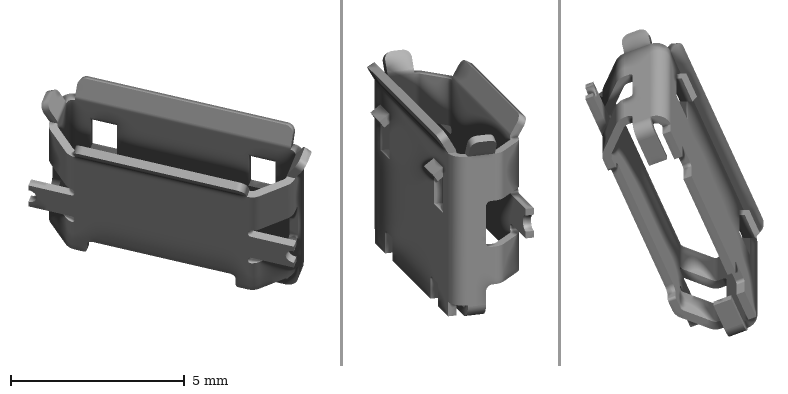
import cadquery as cq
import math

sheet = 0.25
overall_width = 8
shell_width = 7.4
shell_depth = 2.35
shell_top = 4.99
front_bottom = 0.99
bend_radius = 0.45
chamfer_size = 0.9
chamfer_angle = 45
cut_margin = 0.4

half_width = shell_width / 2
half_back = half_width - bend_radius
bend_setback = bend_radius * math.tan(math.radians(chamfer_angle / 2))
half_front = half_width - chamfer_size - bend_setback
side_front = chamfer_size + bend_setback
side_back = shell_depth - bend_radius

flap_lean = 30
flap_length = 0.6
flap_corner = 0.25
front_flap_trim = 0.02

window_inner = 1.98
window_width = 0.81
window_top = 4.42
window_height = 1.4
tongue_lean = 55
tongue_length = 0.37

leg_front = 1.35
opening_corner = 0.14
leg_corner = 0.2
opening_bottom = 2.14
opening_top = 3.55
slot_corner = 0.1
arm_height = 0.9
arm_notch_radius = 0.25
foot_bend = 0.39
foot_inner_end = 2.45
corner_bottom = 0.44

front_notch_half = 2.25
front_notch_top = 1.5
front_notch_corner = 0.18
front_notch_flare = 0.08
back_notch_inner = 1.68
back_notch_outer = 2.37
back_notch_top = 0.7
back_notch_corner = 0.1


def block(x_min, x_max, y_min, y_max, z_min, z_max):
    size = (x_max - x_min, y_max - y_min, z_max - z_min)
    return cq.Workplane("XY").box(*size, centered=False).translate((x_min, y_min, z_min))


def both_sides(body):
    return body.union(body.mirror("YZ"))


def tube():
    """Closed band with rounded back corners and chamfered front corners."""
    half_chamfered = half_width - chamfer_size
    outline = [
        (-half_chamfered, 0),
        (half_chamfered, 0),
        (half_width, chamfer_size),
        (half_width, shell_depth),
        (-half_width, shell_depth),
        (-half_width, chamfer_size),
    ]
    solid = cq.Workplane("XY").polyline(outline).close().extrude(shell_top)
    return solid.edges("|Z").fillet(bend_radius).faces("|Z").shell(-sheet)


def bent_flap(width, lean, length):
    """Flap rising from the origin and leaning toward +X; the bend turns about its outer corner."""
    angle = math.radians(lean)
    along = (math.sin(angle), math.cos(angle))
    inward = (-math.cos(angle), math.sin(angle))
    bend_mid = (-sheet * math.cos(angle / 2), sheet * math.sin(angle / 2))
    bend_end = (sheet * inward[0], sheet * inward[1])
    tip = (length * along[0], length * along[1])
    return (
        cq.Workplane("XZ")
        .moveTo(0, 0)
        .lineTo(-sheet, 0)
        .threePointArc(bend_mid, bend_end)
        .lineTo(tip[0] + bend_end[0], tip[1] + bend_end[1])
        .lineTo(*tip)
        .close()
        .extrude(width / 2, both=True)
    )


def top_flap(width):
    angle = math.radians(flap_lean)
    across_sheet = cq.Vector(-math.cos(angle), 0, math.sin(angle))
    flap = bent_flap(width, flap_lean, flap_length)
    tip_corners = cq.selectors.ParallelDirSelector(across_sheet)
    return flap.edges(tip_corners).fillet(flap_corner).translate((0, 0, shell_top))


def top_flaps():
    turn_axis = ((0, 0, 0), (0, 0, 1))
    back = top_flap(2 * half_back).rotate(*turn_axis, 90).translate((0, shell_depth, 0))
    front = top_flap(2 * (half_front - front_flap_trim)).rotate(*turn_axis, -90)
    side = top_flap(side_back - side_front).translate((half_width, (side_front + side_back) / 2, 0))
    return back.union(front).union(both_sides(side))


def windows():
    window = block(
        window_inner, window_inner + window_width,
        side_back, shell_depth + cut_margin,
        window_top - window_height, window_top,
    )
    return both_sides(window)


def window_tongues():
    tongue = bent_flap(window_width, tongue_lean, tongue_length).mirror("XY")
    tongue = tongue.rotate((0, 0, 0), (0, 0, 1), 90)
    return both_sides(tongue.translate((window_inner + window_width / 2, shell_depth, window_top)))


def side_openings():
    """Openings around the arms, running from the side walls into the front wall."""
    reach = half_width + cut_margin
    side_start = half_back - bend_radius
    front_depth = side_front - bend_radius
    side_part = block(side_start, reach, -cut_margin, leg_front, opening_bottom, opening_top)
    side_part = side_part.edges("|X and >Y").fillet(opening_corner)
    front_part = block(half_front, reach, -cut_margin, front_depth, opening_bottom, opening_top)
    front_part = front_part.edges("|Y and <X").fillet(slot_corner)
    return both_sides(side_part.union(front_part))


def arms():
    """Flat solder arms continuing the front wall, flared at the root and notched at the end."""
    middle = (opening_bottom + opening_top) / 2
    half_height = arm_height / 2
    root_end = half_front + slot_corner
    flare_mid = slot_corner * (1 - math.sqrt(0.5))
    arm = (
        cq.Workplane("XZ")
        .moveTo(half_front, middle - half_height - slot_corner)
        .threePointArc(
            (half_front + flare_mid, middle - half_height - flare_mid),
            (root_end, middle - half_height),
        )
        .lineTo(overall_width / 2, middle - half_height)
        .lineTo(overall_width / 2, middle - arm_notch_radius)
        .threePointArc(
            (overall_width / 2 - arm_notch_radius, middle),
            (overall_width / 2, middle + arm_notch_radius),
        )
        .lineTo(overall_width / 2, middle + half_height)
        .lineTo(root_end, middle + half_height)
        .threePointArc(
            (half_front + flare_mid, middle + half_height + flare_mid),
            (half_front, middle + half_height + slot_corner),
        )
        .close()
        .extrude(-sheet)
    )
    return both_sides(arm)


def lower_trim():
    """Everything removed from the bottom of the band outside the back wall and the side legs."""
    reach = half_width + cut_margin
    front = block(-reach, reach, -cut_margin, leg_front, -cut_margin, front_bottom)
    front = front.edges("|X and >Y and >Z").fillet(leg_corner)
    corner = block(half_back, reach, side_back, shell_depth + cut_margin, -cut_margin, corner_bottom)
    leg_end = block(half_back, reach, leg_front, side_back, -cut_margin, foot_bend)
    return front.union(both_sides(corner.union(leg_end)))


def feet():
    """Feet bent inward from the lower ends of the side legs."""
    flat_start = half_width - foot_bend
    inner_bend = foot_bend - sheet
    outer_mid = foot_bend * math.sqrt(0.5)
    inner_mid = inner_bend * math.sqrt(0.5)
    foot = (
        cq.Workplane("XZ", origin=(0, leg_front, 0))
        .moveTo(foot_inner_end, 0)
        .lineTo(flat_start, 0)
        .threePointArc((flat_start + outer_mid, foot_bend - outer_mid), (half_width, foot_bend))
        .lineTo(half_width - sheet, foot_bend)
        .threePointArc((flat_start + inner_mid, foot_bend - inner_mid), (flat_start, sheet))
        .lineTo(foot_inner_end, sheet)
        .close()
        .extrude(-(side_back - leg_front))
    )
    return both_sides(foot)


def front_notch():
    """Wide notch in the lower edge of the front wall, flared where it meets that edge."""
    flare_half = front_notch_half + front_notch_flare
    flare_mid = front_notch_flare * (1 - math.sqrt(0.5))
    flare_top = front_bottom + front_notch_flare
    corner_start = front_notch_top - front_notch_corner
    corner_half = front_notch_half - front_notch_corner
    corner_mid = front_notch_corner * math.sqrt(0.5)
    half = (
        cq.Workplane("XZ")
        .moveTo(0, front_bottom)
        .lineTo(flare_half, front_bottom)
        .threePointArc(
            (front_notch_half + flare_mid, front_bottom + flare_mid),
            (front_notch_half, flare_top),
        )
        .lineTo(front_notch_half, corner_start)
        .threePointArc((corner_half + corner_mid, corner_start + corner_mid), (corner_half, front_notch_top))
        .lineTo(0, front_notch_top)
        .close()
        .extrude(-sheet)
    )
    return both_sides(half)


def back_notches():
    notch = block(
        back_notch_inner, back_notch_outer,
        side_back, shell_depth + cut_margin,
        -cut_margin, back_notch_top,
    )
    return both_sides(notch.edges("|Y and >Z").fillet(back_notch_corner))


shell = tube().cut(lower_trim()).cut(side_openings())
shell = shell.cut(windows()).cut(front_notch()).cut(back_notches())
result = shell.union(arms()).union(feet()).union(top_flaps()).union(window_tongues())